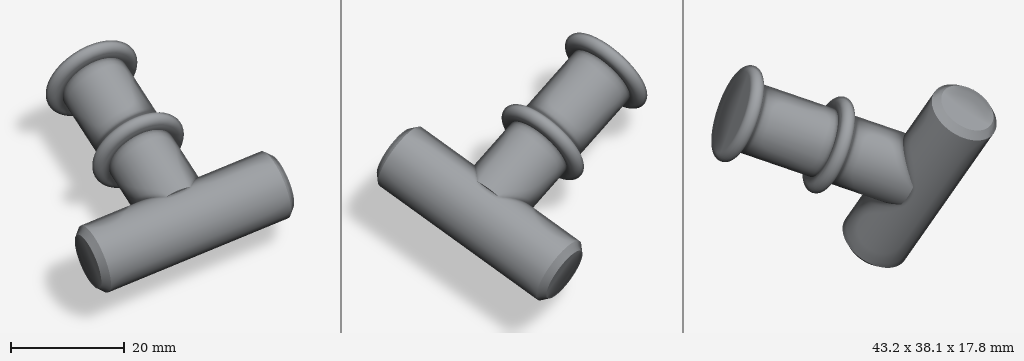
import cadquery as cq

overall_length = 43.2
rod_diameter = 12.7
crossbar_length = 38.1
crossbar_chamfer = 1.25
flange_diameter = 17.8
flange_thickness = 2.55
second_flange_start = 17.8
stem_end_setback = 2.4

rod_radius = rod_diameter / 2
crossbar_x = overall_length - rod_radius
stem_length = crossbar_x - stem_end_setback
rim_radius = flange_thickness / 2
rim_center_radius = flange_diameter / 2 - rim_radius


def make_stem():
    """Round stem along X, stopping flat inside the crossbar."""
    return cq.Workplane("YZ").circle(rod_radius).extrude(stem_length)


def make_flange(start_x):
    """Disc around the stem with a fully rounded rim."""
    end_x = start_x + flange_thickness
    return (
        cq.Workplane("XY")
        .moveTo(start_x, 0)
        .lineTo(start_x, rim_center_radius)
        .threePointArc((start_x + rim_radius, flange_diameter / 2), (end_x, rim_center_radius))
        .lineTo(end_x, 0)
        .close()
        .revolve(360, (0, 0, 0), (1, 0, 0))
    )


def make_crossbar():
    """Round bar along Y with chamfered ends."""
    return (
        cq.Workplane("XZ", origin=(crossbar_x, 0, 0))
        .circle(rod_radius)
        .extrude(crossbar_length / 2, both=True)
        .faces("<Y or >Y")
        .chamfer(crossbar_chamfer)
    )


result = make_stem().union(make_crossbar())
for flange_start in (0, second_flange_start):
    result = result.union(make_flange(flange_start))